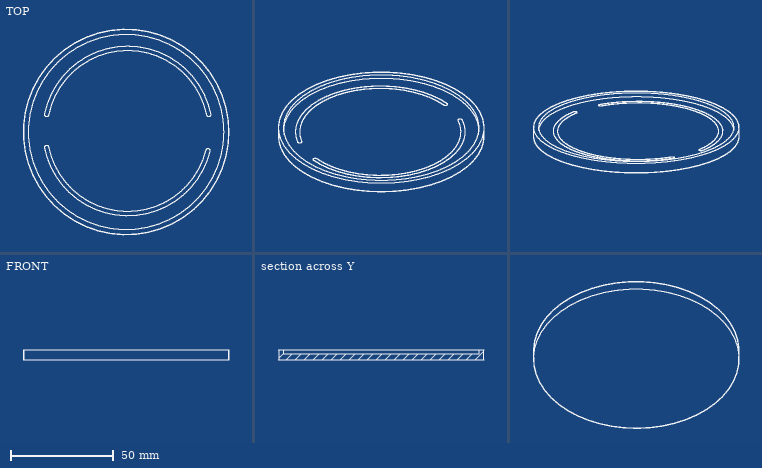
import cadquery as cq
import math

outer_diameter = 100.0
recess_diameter = 95.0
thickness = 5.0
recess_depth = 2.0
floor_height = thickness - recess_depth

rib_center = (0.75, 0.5)
rib_mean_radius = 40.2
rib_width = 2.1
rib_height = 0.1
upper_rib_angles = (11.5, 168.5)
lower_rib_angles = (191.5, 346.2)


def make_dish():
    """Flat disc with a raised rim around a round recess."""
    disc = cq.Workplane("XY").circle(outer_diameter / 2).extrude(thickness)
    recess = (
        cq.Workplane("XY")
        .workplane(offset=floor_height)
        .circle(recess_diameter / 2)
        .extrude(recess_depth)
    )
    return disc.cut(recess)


def point_on_arc(radius, degrees):
    """Point at an angle on a circle about the rib center."""
    angle = math.radians(degrees)
    return (
        rib_center[0] + radius * math.cos(angle),
        rib_center[1] + radius * math.sin(angle),
    )


def make_arc_rib(start, end):
    """One arc rib between two angles, rounded at both ends."""
    inner = rib_mean_radius - rib_width / 2
    outer = rib_mean_radius + rib_width / 2
    middle = (start + end) / 2
    cap_angle = math.degrees(rib_width / 2 / rib_mean_radius)
    return (
        cq.Workplane("XY")
        .workplane(offset=floor_height)
        .moveTo(*point_on_arc(outer, start))
        .threePointArc(point_on_arc(outer, middle), point_on_arc(outer, end))
        .threePointArc(
            point_on_arc(rib_mean_radius, end + cap_angle), point_on_arc(inner, end)
        )
        .threePointArc(point_on_arc(inner, middle), point_on_arc(inner, start))
        .threePointArc(
            point_on_arc(rib_mean_radius, start - cap_angle), point_on_arc(outer, start)
        )
        .close()
        .extrude(rib_height)
    )


result = make_dish()
for start_angle, end_angle in (upper_rib_angles, lower_rib_angles):
    result = result.union(make_arc_rib(start_angle, end_angle))